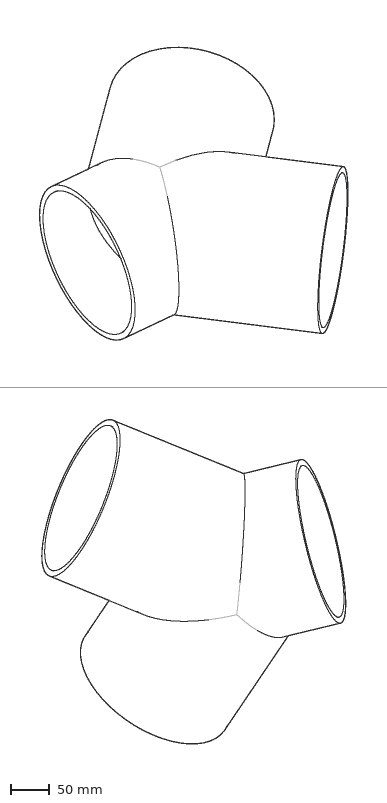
import cadquery as cq
import math

outer_diameter = 219.0
inner_diameter = 202.8
overall_width = 478.0
branch_angle = 45.0

slant = math.radians(branch_angle)
branch_length = (overall_width / 2 - outer_diameter / 2 * math.cos(slant)) / math.sin(slant)
inlet_length = branch_length / 2

legs = [
    (180.0, inlet_length),
    (branch_angle, branch_length),
    (-branch_angle, branch_length),
]


def leg_cylinder(diameter, turn, length):
    """Solid cylinder running outward from the junction at the origin."""
    direction = cq.Vector(-math.sin(math.radians(turn)), math.cos(math.radians(turn)), 0)
    return cq.Workplane(cq.Solid.makeCylinder(diameter / 2, length, cq.Vector(0, 0, 0), direction))


def joined_legs(diameter):
    """All three legs merged at the junction."""
    body = cq.Workplane()
    for turn, length in legs:
        body = body.add(leg_cylinder(diameter, turn, length))
    return body.combine()


result = joined_legs(outer_diameter).cut(joined_legs(inner_diameter))